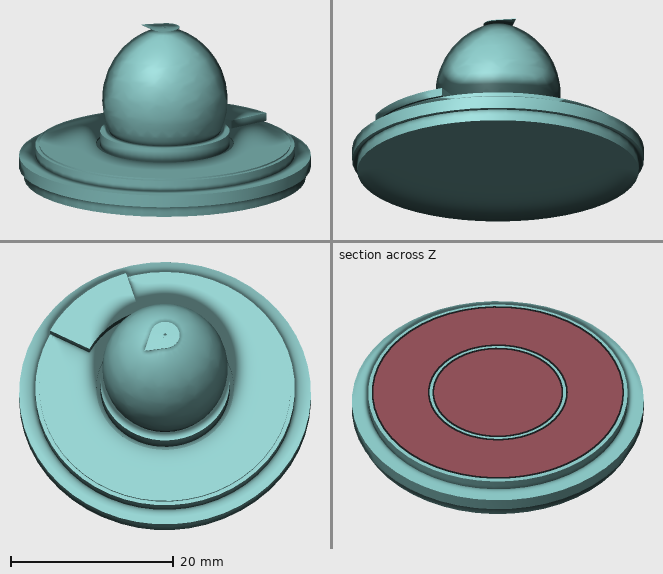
import cadquery as cq
import math

foot_dia = 34.75
flange_dia = 36.0
body_dia = 32.0
cover_dia = 31.0
foot_top = 1.4
flange_top = 2.9
body_top = 4.2
cover_top = 4.4

collar_dia = 16.0
collar_top = 6.0
cover_hole_dia = 17.0

pad_inner_radius = 10.5
pad_outer_radius = body_dia / 2
pad_half_angle = 22.5
pad_height = 1.0

dome_dia = 15.48
dome_arc_radius = 9.45
dome_equator = 10.05
dome_top = 19.08

overall_height = 19.35
leaf_thickness = 0.07
leaf_radius = 1.8
leaf_reach = 3.3
leaf_droop = 0.15

pin_dia = 0.72
pin_bore_dia = 0.35
pin_bore_depth = 0.2


def disc(diameter, bottom, top):
    """Cylinder on the Z axis between two heights."""
    return cq.Workplane("XY").workplane(offset=bottom).circle(diameter / 2).extrude(top - bottom)


def polar(radius, angle):
    """Point at a radius and an angle from +Y, positive towards +X."""
    turn = math.radians(angle)
    return (radius * math.sin(turn), radius * math.cos(turn))


def make_base():
    cover = disc(cover_dia, body_top, cover_top).cut(disc(cover_hole_dia, body_top, cover_top))
    return (
        disc(foot_dia, 0, foot_top)
        .union(disc(flange_dia, foot_top, flange_top))
        .union(disc(body_dia, flange_top, body_top))
        .union(cover)
        .union(disc(collar_dia, body_top, collar_top))
    )


def make_pad():
    return (
        cq.Workplane("XY")
        .workplane(offset=cover_top)
        .moveTo(*polar(pad_inner_radius, -pad_half_angle))
        .lineTo(*polar(pad_outer_radius, -pad_half_angle))
        .threePointArc(polar(pad_outer_radius, 0), polar(pad_outer_radius, pad_half_angle))
        .lineTo(*polar(pad_inner_radius, pad_half_angle))
        .threePointArc(polar(pad_inner_radius, 0), polar(pad_inner_radius, -pad_half_angle))
        .close()
        .extrude(pad_height)
    )


def make_dome():
    dome_radius = dome_dia / 2
    arc_centre = dome_radius - dome_arc_radius

    def radius_at(height):
        return arc_centre + math.sqrt(dome_arc_radius**2 - (height - dome_equator) ** 2)

    return (
        cq.Workplane("XZ")
        .moveTo(0, collar_top)
        .lineTo(radius_at(collar_top), collar_top)
        .threePointArc((dome_radius, dome_equator), (radius_at(dome_top), dome_top))
        .lineTo(0, dome_top)
        .close()
        .revolve(360, (0, 0, 0), (0, 1, 0))
    )


def make_leaf():
    tangent_x = -leaf_radius**2 / leaf_reach
    tangent_y = math.sqrt(leaf_radius**2 - tangent_x**2)
    outline = (
        cq.Workplane("XY")
        .workplane(offset=overall_height - leaf_droop - leaf_thickness)
        .moveTo(-leaf_reach, 0)
        .lineTo(tangent_x, -tangent_y)
        .threePointArc((leaf_radius, 0), (tangent_x, tangent_y))
        .close()
        .extrude(leaf_droop + leaf_thickness)
    )
    length = leaf_radius + leaf_reach
    bend_radius = (length**2 + leaf_droop**2) / (2 * leaf_droop)
    sheet = (
        cq.Workplane("XZ")
        .center(leaf_radius, overall_height - bend_radius)
        .circle(bend_radius)
        .circle(bend_radius - leaf_thickness)
        .extrude(leaf_radius, both=True)
    )
    return outline.intersect(sheet)


pin = disc(pin_dia, dome_top, overall_height)
pin_bore = disc(pin_bore_dia, overall_height - pin_bore_depth, overall_height)

result = make_base().union(make_pad()).union(make_dome()).union(pin).union(make_leaf()).cut(pin_bore)